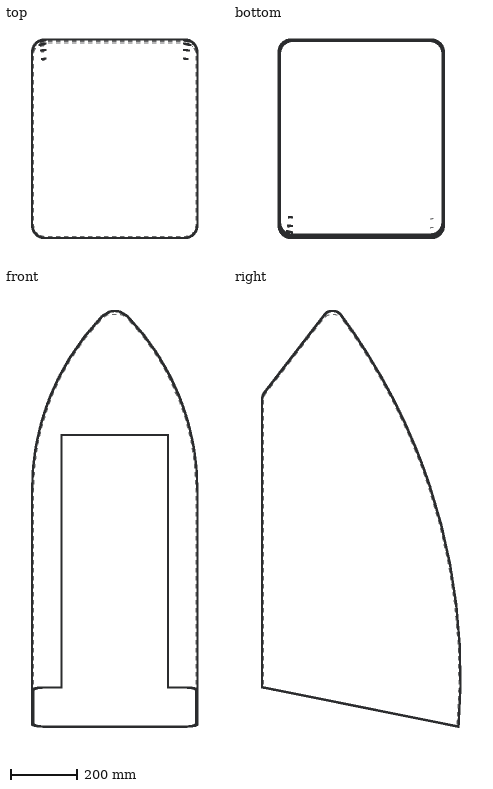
import cadquery as cq
import math

half_width = 250.0
depth = 601.0
wall = 5.0
corner_radius = 40.0

side_arc_start = 715.0
side_arc_radius = 758.0
back_arc_start = 151.0
back_arc_radius = 1835.0
front_top = 1001.0

opening_width = 322.0
opening_top = 883.0
base_front = 120.0
base_overrun = 126.0

bottom = -base_overrun
peak_rise = math.sqrt(side_arc_radius**2 - (side_arc_radius - half_width)**2)
peak_z = side_arc_start + peak_rise


def back_y(z):
    """Depth of the circular back surface at height z."""
    rise = z - back_arc_start
    return depth - back_arc_radius + math.sqrt(back_arc_radius**2 - rise**2)


def side_x(z):
    """Half width of the leaning side at height z."""
    rise = z - side_arc_start
    return half_width - side_arc_radius + math.sqrt(side_arc_radius**2 - rise**2)


def pointed_arch():
    """Outline across the hood: upright sides closing to a pointed arch."""
    mid_z = (side_arc_start + peak_z) / 2
    return (
        cq.Workplane("XZ")
        .moveTo(-half_width, bottom)
        .lineTo(half_width, bottom)
        .lineTo(half_width, side_arc_start)
        .threePointArc((side_x(mid_z), mid_z), (0, peak_z))
        .threePointArc((-side_x(mid_z), mid_z), (-half_width, side_arc_start))
        .close()
    )


def side_outline():
    """Outline along the hood: upright front, sloping top and curved back."""
    mid_z = (bottom + peak_z) / 2
    return (
        cq.Workplane("YZ")
        .moveTo(0, bottom)
        .lineTo(0, front_top)
        .lineTo(back_y(peak_z), peak_z)
        .threePointArc((back_y(mid_z), mid_z), (back_y(bottom), bottom))
        .close()
    )


def hood_body(inset):
    """Rounded solid whose surface lies the given inset inside the outer skin."""
    arch = pointed_arch()
    outline = side_outline()
    if inset > 0:
        arch = arch.offset2D(-inset, "intersection")
        outline = outline.offset2D(-inset, "intersection")
    across = arch.extrude(-2 * depth).translate((0, -depth / 2, 0))
    along = outline.extrude(2 * half_width, both=True)
    body = across.intersect(along)
    return body.edges("not(<Z)").fillet(corner_radius - inset)


def below_base():
    """Everything under the base plane, which falls from front to back."""
    base_drop = base_front / back_y(0)
    return (
        cq.Workplane("YZ")
        .moveTo(-depth, base_front + depth * base_drop)
        .lineTo(2 * depth, base_front - 2 * depth * base_drop)
        .lineTo(2 * depth, 2 * bottom - depth)
        .lineTo(-depth, 2 * bottom - depth)
        .close()
        .extrude(2 * half_width, both=True)
    )


def front_opening():
    """Rectangular doorway through the front wall, open at the base."""
    return cq.Workplane("XY").box(
        opening_width, 2 * corner_radius, opening_top - bottom, centered=(True, True, False)
    ).translate((0, 0, bottom))


result = hood_body(0).cut(hood_body(wall)).cut(below_base()).cut(front_opening())